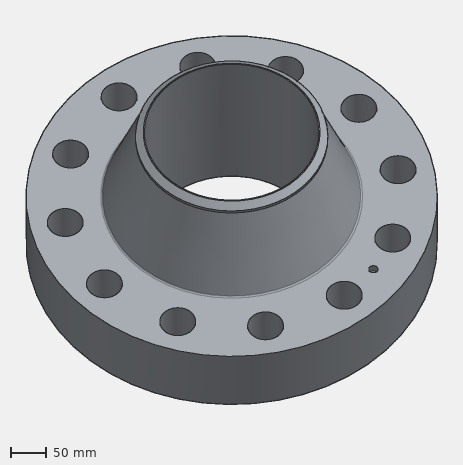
import cadquery as cq
import math

flange_diameter = 584.0
flange_thickness = 109.0

overall_height = 254.0
hub_base_diameter = 368.0
hub_foot_radius = 3.0
neck_diameter = 273.5
neck_straight_length = 4.5
bore_diameter = 247.5

land_width = 2.0
bevel_angle = 37.5

bolt_circle_diameter = 482.5
bolt_hole_diameter = 51.0
bolt_hole_count = 12

small_hole_diameter = 13.0
small_hole_depth = 11.5
small_hole_pilot_diameter = 3.5
small_hole_pilot_depth = 23.5

flange_radius = flange_diameter / 2
hub_base_radius = hub_base_diameter / 2
neck_radius = neck_diameter / 2
bore_radius = bore_diameter / 2
bolt_circle_radius = bolt_circle_diameter / 2
bolt_pitch_angle = 360 / bolt_hole_count

land_radius = bore_radius + land_width
bevel_height = (neck_radius - land_radius) * math.tan(math.radians(bevel_angle))
bevel_bottom = overall_height - bevel_height
taper_top = bevel_bottom - neck_straight_length


def point_on_bolt_circle(angle):
    """Return the X, Y point on the bolt circle at an angle in degrees from +X."""
    angle_rad = math.radians(angle)
    return (bolt_circle_radius * math.cos(angle_rad), bolt_circle_radius * math.sin(angle_rad))


def hole_from_flange_face(center, diameter, depth):
    """Return a round cutter that runs down from the top face of the flange."""
    return (
        cq.Workplane("XY", origin=(0, 0, flange_thickness))
        .center(*center)
        .circle(diameter / 2)
        .extrude(-depth)
    )


def revolved_body():
    """Revolve the radial section of flange and neck, including the bore, about Z."""
    return (
        cq.Workplane("XZ")
        .moveTo(bore_radius, 0)
        .lineTo(flange_radius, 0)
        .lineTo(flange_radius, flange_thickness)
        .lineTo(hub_base_radius, flange_thickness)
        .lineTo(neck_radius, taper_top)
        .lineTo(neck_radius, bevel_bottom)
        .lineTo(land_radius, overall_height)
        .lineTo(bore_radius, overall_height)
        .close()
        .revolve(360, (0, 0, 0), (0, 1, 0))
    )


def round_hub_foot(body):
    """Fillet the circular corner where the hub taper meets the flange face."""
    flange_face_edges = body.faces(">Z[-2]").edges()
    hub_foot_edge = flange_face_edges.edges(cq.selectors.RadiusNthSelector(0))
    return hub_foot_edge.fillet(hub_foot_radius)


result = round_hub_foot(revolved_body())

for index in range(bolt_hole_count):
    bolt_center = point_on_bolt_circle(index * bolt_pitch_angle)
    result = result.cut(hole_from_flange_face(bolt_center, bolt_hole_diameter, flange_thickness))

small_hole_center = point_on_bolt_circle(bolt_pitch_angle / 2)
result = result.cut(hole_from_flange_face(small_hole_center, small_hole_diameter, small_hole_depth))
result = result.cut(hole_from_flange_face(small_hole_center, small_hole_pilot_diameter, small_hole_pilot_depth))